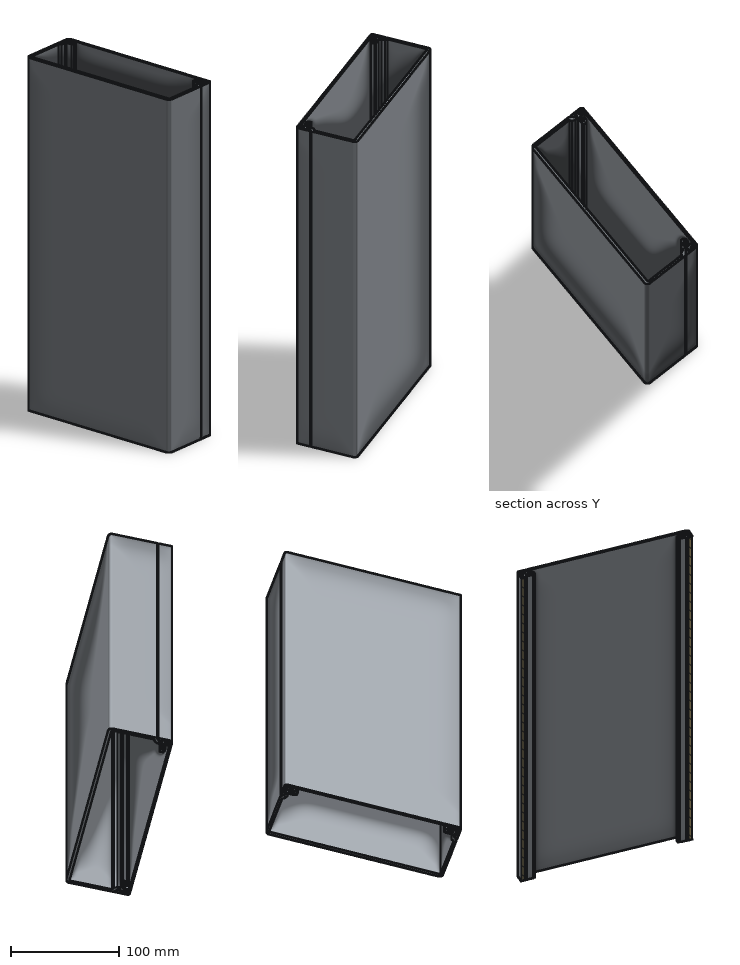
import cadquery as cq

length = 350.0
width = 170.5
depth = 60.5

wall = 2.5
floor = 3.0
front_radius = 3.5

plate = 1.8
skirt = 1.5
back_radius = 2.0
skirt_end = 13.5
foot_reach = 3.5
foot_top = 9.5

seam_gap = 0.7
base_top = skirt_end + 2 * seam_gap
foot_slope_start = seam_gap

post_outer = 3.5
post_inner = 6.0
neck_outer = foot_reach + 0.5
neck_inner_end = 12.5
neck_bend = (4.5, 15.8)
neck_wall_end = 17.0

catch_bottom = foot_top - 0.5
catch_top = 7.0
catch_root = 6.3

hook_reach = 14.0
hook_bevel_start = 12.0
hook_bottom = 9.8
hook_bottom_bevel = 9.0
shelf_top = 7.7
slot_end = 11.2
lip_bottom = 6.5
lip_tip = 8.0
lip_top_start = 9.0
lip_top = 4.5
lip_bevel = 6.0


def symmetric_profile(left_half):
    """Extrude a half outline, given from one centre point to the other, with its mirror image."""
    left = [(inset - width / 2, depth / 2 - drop) for inset, drop in left_half]
    right = [(-x, y) for x, y in reversed(left)]
    outline = left + [point for point in right if point[0] != 0]
    return cq.Workplane("XY").workplane(offset=-length / 2).polyline(outline).close().extrude(length)


def make_base():
    outside = [(width / 2, depth), (0, depth), (0, base_top)]
    neck_and_catch = [
        (neck_outer, base_top - neck_outer),
        (neck_outer, catch_bottom),
        (skirt, catch_bottom),
        (skirt, catch_top),
        (post_outer, catch_root),
    ]
    post_tip = [(post_outer, plate), (post_inner, plate)]
    hook = [
        (post_inner, shelf_top),
        (slot_end, shelf_top),
        (slot_end, lip_bottom),
        (lip_tip, lip_bottom),
        (lip_top_start, lip_top),
        (hook_bevel_start, lip_top),
        (hook_reach, lip_bevel),
        (hook_reach, hook_bottom_bevel),
        (hook_bevel_start, hook_bottom),
        (post_inner, hook_bottom),
    ]
    inside = [
        (post_inner, neck_inner_end),
        neck_bend,
        (wall, neck_wall_end),
        (wall, depth - floor),
        (width / 2, depth - floor),
    ]
    channel = symmetric_profile(outside + neck_and_catch + post_tip + hook + inside)
    return channel.edges("|Z and <Y").edges("<X or >X").fillet(front_radius)


def make_cover():
    foot = [
        (0, skirt_end),
        (foot_slope_start, skirt_end),
        (foot_reach, skirt_end + foot_slope_start - foot_reach),
        (foot_reach, foot_top),
        (skirt, foot_top),
    ]
    outline = [(width / 2, 0), (0, 0)] + foot + [(skirt, plate), (width / 2, plate)]
    cover = symmetric_profile(outline)
    return cover.edges("|Z and >Y").edges("<X or >X").fillet(back_radius)


base = make_base()
cover = make_cover()

result = cq.Compound.makeCompound([base.val(), cover.val()])